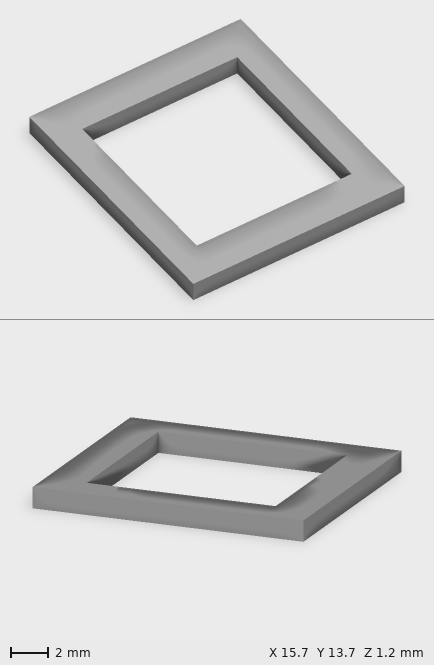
import cadquery as cq

length = 15.7
width = 13.65
thickness = 1.2

window_length = 10.96
window_width = 10.0

frame = cq.Workplane("XY").box(length, width, thickness)
result = frame.faces(">Z").workplane().rect(window_length, window_width).cutThruAll()